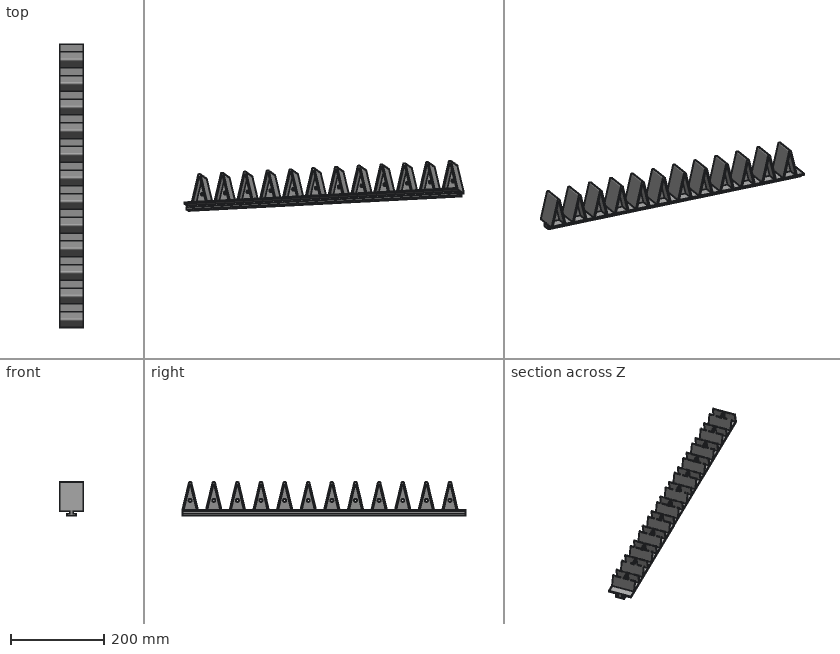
import math

import cadquery as cq

rail_length = 609.6
rail_width = 50.8
strip_thickness = 3.175
foot_width = 20.0
foot_thickness = 4.7625
neck_width = 7.94
strip_bottom = 9.525
strip_top = strip_bottom + strip_thickness

total_height = 73.025
tooth_count = 12
tooth_pitch = rail_length / tooth_count
tooth_base = 33.9
crest_radius = 3.175
leg_thickness = 3.175
inner_crest_radius = 0.8
web_thickness = 3.175
web_hole_diameter = 6.35
web_hole_height = 20.6

half_base = tooth_base / 2
crest_center_z = total_height - crest_radius

crest_rise = crest_center_z - strip_top
corner_to_crest_center = math.hypot(half_base, crest_rise)
flank_lean = math.atan2(half_base, crest_rise) - math.asin(crest_radius / corner_to_crest_center)

opening_half_base = half_base - leg_thickness / math.cos(flank_lean)
opening_sharp_apex_z = strip_top + opening_half_base / math.tan(flank_lean)
opening_crest_center_z = opening_sharp_apex_z - inner_crest_radius / math.sin(flank_lean)


def rounded_wedge(half_width, radius, center_z, length):
    """Prism along X standing on the strip, with straight flanks tangent to a crest arc."""
    tangent_y = radius * math.cos(flank_lean)
    tangent_z = center_z + radius * math.sin(flank_lean)
    return (
        cq.Workplane("YZ")
        .moveTo(-half_width, strip_top)
        .lineTo(half_width, strip_top)
        .lineTo(tangent_y, tangent_z)
        .threePointArc((0, center_z + radius), (-tangent_y, tangent_z))
        .close()
        .extrude(length / 2, both=True)
    )


def make_rail():
    """Strip, neck and foot as one constant cross-section along Y."""
    half_rail = rail_width / 2
    half_foot = foot_width / 2
    half_neck = neck_width / 2
    profile = (
        cq.Workplane("XZ")
        .moveTo(-half_foot, 0)
        .lineTo(half_foot, 0)
        .lineTo(half_foot, foot_thickness)
        .lineTo(half_neck, foot_thickness)
        .lineTo(half_neck, strip_bottom)
        .lineTo(half_rail, strip_bottom)
        .lineTo(half_rail, strip_top)
        .lineTo(-half_rail, strip_top)
        .lineTo(-half_rail, strip_bottom)
        .lineTo(-half_neck, strip_bottom)
        .lineTo(-half_neck, foot_thickness)
        .lineTo(-half_foot, foot_thickness)
        .close()
    )
    return profile.extrude(rail_length / 2, both=True)


def make_tooth():
    """One tooth centred on Y = 0."""
    outer = rounded_wedge(half_base, crest_radius, crest_center_z, rail_width)
    opening_outline = (opening_half_base, inner_crest_radius, opening_crest_center_z)
    opening = rounded_wedge(*opening_outline, rail_width)
    web = rounded_wedge(*opening_outline, web_thickness)
    hole = (
        cq.Workplane("YZ")
        .center(0, strip_top + web_hole_height)
        .circle(web_hole_diameter / 2)
        .extrude(rail_width / 2, both=True)
    )
    return outer.cut(opening).union(web).cut(hole)


tooth = make_tooth()
result = make_rail()

first_tooth_y = -rail_length / 2 + half_base
for index in range(tooth_count):
    result = result.union(tooth.translate((0, first_tooth_y + index * tooth_pitch, 0)))